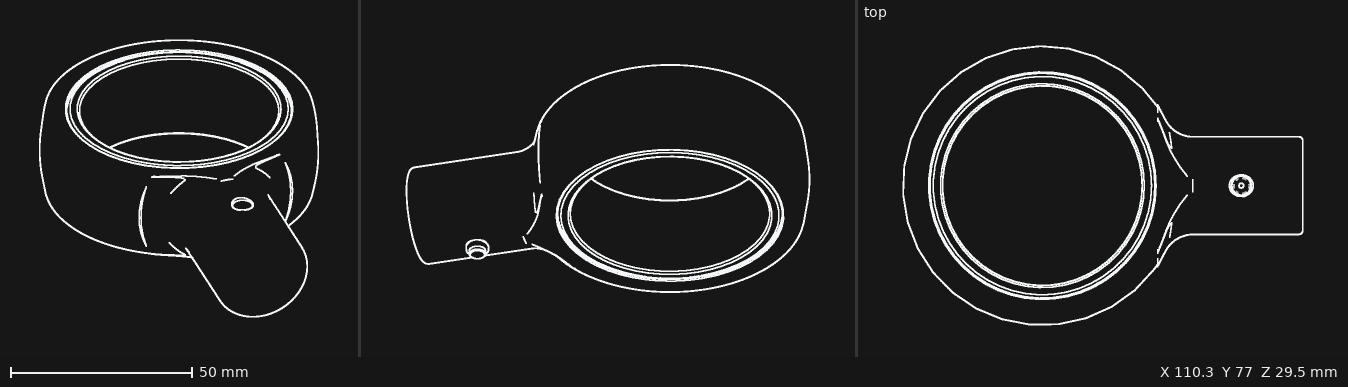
import cadquery as cq
import math

ring_radius = 77.0 / 2
ring_edge_radius = 37.0
ring_width = 25.0
ring_edge_fillet = 0.8
bore_radius = 62.0 / 2
bore_edge_chamfer = 0.35
half_width = ring_width / 2

bush_inner_radius = 55.0 / 2
bush_inner_chamfer = 0.6
bush_outer_chamfer = 0.9

overall_length = 110.34
shank_radius = 27.0 / 2
shank_start = 41.4
shank_end = overall_length - ring_radius
shank_edge_fillet = 1.2

flat_start = 31.75
flat_end_height = shank_radius - 0.1

hole_x = shank_end - 17.0
hole_radius = 5.5 / 2
countersink_radius = 3.3

flange_radius = 6.2 / 2
flange_bottom = -14.7
flange_edge_fillet = 0.6
sleeve_top = -8.5
flange_seat = -math.sqrt(shank_radius**2 - flange_radius**2)

pin_radius = 4.5 / 2
pin_bottom = -16.0
pin_edge_chamfer = 0.25
head_radius = 5.2 / 2
head_rim = 0.5
head_flat_radius = 0.65
head_slope = 25.0


def hole_disc(radius, bottom, top):
    """Cylinder on the cross hole axis between two heights."""
    return cq.Workplane("XY", origin=(hole_x, 0, bottom)).circle(radius).extrude(top - bottom)


def hole_cone(bottom_radius, top_radius, bottom, height):
    """Truncated cone on the cross hole axis."""
    base = cq.Vector(hole_x, 0, bottom)
    return cq.Workplane(cq.Solid.makeCone(bottom_radius, top_radius, height, base))


def ring_disc(radius):
    """Cylinder on the ring axis over the full ring width."""
    return cq.Workplane("XY", origin=(0, 0, -half_width)).circle(radius).extrude(ring_width)


def make_ring():
    """Solid ring blank with a crowned rim and rounded edges."""
    blank = (
        cq.Workplane("XZ")
        .moveTo(0, -half_width)
        .lineTo(ring_edge_radius, -half_width)
        .threePointArc((ring_radius, 0), (ring_edge_radius, half_width))
        .lineTo(0, half_width)
        .close()
        .revolve(360, (0, 0, 0), (0, 1, 0))
    )
    return blank.faces("|Z").edges().fillet(ring_edge_fillet)


def make_flare():
    """Trumpet about the shank axis: an arc off the shank, then a line tangent to the ring."""
    flare_radius = (shank_start**2 + shank_radius**2 - ring_radius**2) / (2 * (ring_radius - shank_radius))
    center_y = shank_radius + flare_radius
    tangent_angle = math.atan2(center_y, shank_start)
    tangent_x = ring_radius * math.cos(tangent_angle)
    tangent_y = ring_radius * math.sin(tangent_angle)
    mouth_radius = tangent_y + (tangent_x - flat_start) / math.tan(tangent_angle)
    return (
        cq.Workplane("XY")
        .moveTo(flat_start, 0)
        .lineTo(flat_start, mouth_radius)
        .lineTo(tangent_x, tangent_y)
        .radiusArc((shank_start, shank_radius), -flare_radius)
        .lineTo(shank_start, 0)
        .close()
        .revolve(360, (0, 0, 0), (1, 0, 0))
    )


def make_neck():
    """Flare trimmed above and below by flats that level out at the shank."""
    rise = flat_end_height - half_width
    run = shank_start - flat_start
    flat_arc_radius = (run**2 + rise**2) / (2 * rise)
    slab = (
        cq.Workplane("XZ")
        .moveTo(flat_start, -half_width)
        .lineTo(flat_start, half_width)
        .radiusArc((shank_start, flat_end_height), flat_arc_radius)
        .lineTo(shank_start, -flat_end_height)
        .radiusArc((flat_start, -half_width), flat_arc_radius)
        .close()
        .extrude(ring_radius, both=True)
    )
    return make_flare().intersect(slab)


def make_shank():
    shank_length = shank_end - shank_start
    shank = cq.Workplane("YZ", origin=(shank_start, 0, 0)).circle(shank_radius).extrude(shank_length)
    return shank.faces(">X").edges().fillet(shank_edge_fillet)


def make_bore():
    """Ring bore that widens in a small chamfer at each face."""
    rim_radius = bore_radius + bore_edge_chamfer
    chamfer_start = half_width - bore_edge_chamfer
    return (
        cq.Workplane("XZ")
        .moveTo(0, -half_width)
        .lineTo(rim_radius, -half_width)
        .lineTo(bore_radius, -chamfer_start)
        .lineTo(bore_radius, chamfer_start)
        .lineTo(rim_radius, half_width)
        .lineTo(0, half_width)
        .close()
        .revolve(360, (0, 0, 0), (0, 1, 0))
    )


def make_cross_hole():
    """Through hole with a 45 degree countersink on top and a spot face below."""
    countersink_depth = countersink_radius - hole_radius
    hole = hole_disc(hole_radius, -shank_radius, shank_radius)
    countersink_floor = shank_radius - countersink_depth
    countersink = hole_cone(hole_radius, countersink_radius, countersink_floor, countersink_depth)
    spot_face = hole_disc(flange_radius, -shank_radius, flange_seat)
    return hole.union(countersink).union(spot_face)


def make_housing():
    blank = make_ring().union(make_neck()).union(make_shank())
    return blank.cut(make_bore()).cut(make_cross_hole())


def make_bush():
    outer = ring_disc(bore_radius).faces("|Z").edges().chamfer(bush_outer_chamfer)
    bush = outer.cut(ring_disc(bush_inner_radius))
    inner_edges = bush.faces("|Z").edges(cq.selectors.RadiusNthSelector(0))
    return inner_edges.chamfer(bush_inner_chamfer)


def make_sleeve():
    flange = hole_disc(flange_radius, flange_bottom, flange_seat)
    flange = flange.faces("<Z").edges().fillet(flange_edge_fillet)
    barrel = hole_disc(hole_radius, flange_seat, sleeve_top)
    pin_hole = hole_disc(pin_radius, flange_bottom, sleeve_top)
    return flange.union(barrel).cut(pin_hole)


def make_pin():
    stem = hole_disc(pin_radius, pin_bottom, sleeve_top)
    stem = stem.faces("<Z").edges().chamfer(pin_edge_chamfer)
    cone_base = sleeve_top + head_rim
    cone_height = (head_radius - head_flat_radius) * math.tan(math.radians(head_slope))
    rim = hole_disc(head_radius, sleeve_top, cone_base)
    cone = hole_cone(head_radius, head_flat_radius, cone_base, cone_height)
    return stem.union(rim).union(cone)


housing = make_housing()
bush = make_bush()
sleeve = make_sleeve()
pin = make_pin()
bodies = [housing, bush, sleeve, pin]
result = cq.Compound.makeCompound([body.solids().val() for body in bodies])